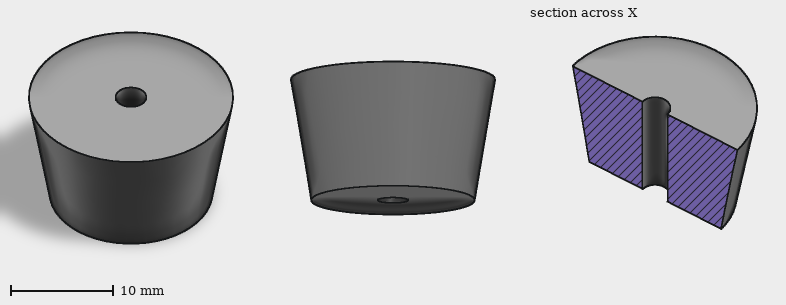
import cadquery as cq

top_diameter = 20.0
bottom_diameter = 16.0
height = 12.0
hole_diameter = 3.0


def tapered_body():
    """Cone frustum, widening upward, with its base on the XY plane."""
    return cq.Workplane("XY").add(
        cq.Solid.makeCone(bottom_diameter / 2, top_diameter / 2, height)
    )


def drill_axial_hole(body):
    """Straight hole along the axis, through the full height."""
    return body.faces(">Z").workplane(centerOption="CenterOfMass").hole(hole_diameter)


result = drill_axial_hole(tapered_body())